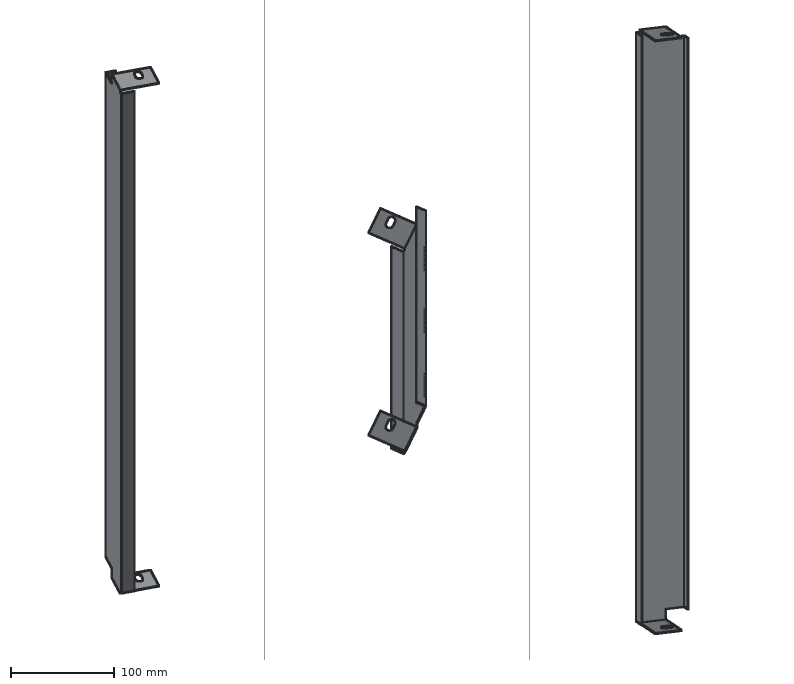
import cadquery as cq

length = 601.0
width = 51.0
tab_depth = 39.5
thickness = 1.0

left_flange_depth = 10.0
right_flange_depth = 14.0
right_flange_setback = 2.5

notch_width = 20.0
notch_height = 11.5
right_relief_width = 3.5
tab_width = width - notch_width - right_relief_width

slot_length = 12.0
slot_width = 7.0
slot_x = 29.0
slot_y = 24.5


def plate(x, y, z, size_x, size_y, size_z):
    """Return a box placed by its lowest corner."""
    return cq.Workplane("XY").box(size_x, size_y, size_z, centered=False).translate((x, y, z))


left_height = length - 2 * notch_height
right_height = length - 2 * right_flange_setback
web = plate(notch_width, 0, 0, tab_width, thickness, length)
left_wing = plate(0, 0, notch_height, notch_width, thickness, left_height)
right_wing = plate(
    width - right_relief_width, 0, right_flange_setback, right_relief_width, thickness, right_height
)

left_flange = plate(0, 0, notch_height, thickness, left_flange_depth, left_height)
right_flange = plate(
    width - thickness, 0, right_flange_setback, thickness, right_flange_depth, right_height
)

body = web.union(left_wing).union(right_wing).union(left_flange).union(right_flange)

for tab_z in (0, length - thickness):
    body = body.union(plate(notch_width, 0, tab_z, tab_width, tab_depth, thickness))

slot_cutter = (
    cq.Workplane("XY")
    .center(slot_x, slot_y)
    .slot2D(slot_length, slot_width)
    .extrude(length)
)

result = body.cut(slot_cutter)